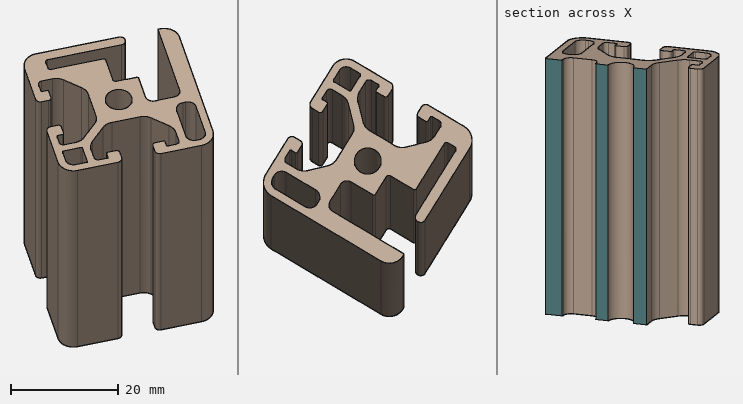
import cadquery as cq
import math

side = 30.0
length = 50.0
half = side / 2
corner_radius = 3.0

bore_diameter = 5.0

slot_half_opening = 3.2
slot_half_width = 8.2
slot_floor = 5.15
slot_flank_offset = 1.3
lip_thickness = 1.5
lip_half_hook = 5.65
hook_height = 1.4
slot_floor_radius = 2.75
slot_shoulder_radius = 2.75
slot_corner_radius = 0.8
hook_root_radius = 0.25
hook_edge_radius = 0.25
lip_inner_radius = 0.6
lip_outer_radius = 0.95

top_plate_thickness = 3.4
channel_opening = 6.6
channel_end_x = 2.05
channel_end_radius = 1.45
step_x = -4.5
step_y = 0.2
step_inner_radius = 0.6
step_edge_radius = 0.4
left_wall_thickness = 2.0
left_wall_tip_radius = 0.95
groove_width = 2.5
groove_floor_y = -10.75
groove_corner_radius = 0.5

chamber_wall = 1.5
upper_chamber_length = 9.65
upper_chamber_height = 3.75
upper_chamber_radius = 1.6
lower_chamber_size = 3.85
lower_chamber_outer_radius = corner_radius - chamber_wall
lower_chamber_inner_radius = 0.25


def step_towards(start, end, distance):
    """Point at the given distance from start on the way to end."""
    ratio = distance / math.dist(start, end)
    return tuple(a + (b - a) * ratio for a, b in zip(start, end))


def rounded_prism(corners):
    """Extrude a closed polygon of (x, y, radius) corners, each rounded by its radius."""
    outline = cq.Workplane("XY")
    started = False
    for index, (x, y, radius) in enumerate(corners):
        corner = (x, y)
        before = corners[index - 1][:2]
        after = corners[(index + 1) % len(corners)][:2]
        toward_before = math.atan2(before[1] - y, before[0] - x)
        toward_after = math.atan2(after[1] - y, after[0] - x)
        half_angle = math.acos(math.cos(toward_after - toward_before)) / 2
        setback = radius / math.tan(half_angle)
        arc_start = step_towards(corner, before, setback)
        arc_end = step_towards(corner, after, setback)
        outline = outline.lineTo(*arc_start) if started else outline.moveTo(*arc_start)
        started = True
        if radius > 0:
            chord_middle = tuple((a + b) / 2 for a, b in zip(arc_start, arc_end))
            arc_depth = radius / math.sin(half_angle) - radius
            outline = outline.threePointArc(step_towards(corner, chord_middle, arc_depth), arc_end)
    return outline.close().extrude(length)


def t_slot_corners():
    """T-slot corners as (across, height, radius), from the negative lip to the positive one."""
    chamber_top = half - lip_thickness
    hook_end = chamber_top - hook_height
    positive_side = [
        (slot_floor - slot_flank_offset, slot_floor, slot_floor_radius),
        (slot_half_width, slot_half_width + slot_flank_offset, slot_shoulder_radius),
        (slot_half_width, chamber_top, slot_corner_radius),
        (lip_half_hook, chamber_top, hook_root_radius),
        (lip_half_hook, hook_end, hook_edge_radius),
        (slot_half_opening, hook_end, lip_inner_radius),
        (slot_half_opening, half, lip_outer_radius),
    ]
    negative_side = [(-across, height, radius) for across, height, radius in reversed(positive_side)]
    return negative_side + positive_side


def channel_corners():
    """Corners of the stepped channel, from the top plate round to the tip of the left wall."""
    channel_top = half - top_plate_thickness
    channel_bottom = channel_top - channel_opening
    wall_inner_x = -half + left_wall_thickness
    groove_right_x = wall_inner_x + groove_width
    return [
        (-half, channel_top, 0),
        (channel_end_x, channel_top, channel_end_radius),
        (channel_end_x, channel_bottom, channel_end_radius),
        (step_x, channel_bottom, step_edge_radius),
        (step_x, step_y, step_inner_radius),
        (groove_right_x, step_y, step_edge_radius),
        (groove_right_x, groove_floor_y, groove_corner_radius),
        (wall_inner_x, groove_floor_y, groove_corner_radius),
        (wall_inner_x, channel_bottom, left_wall_tip_radius),
        (-half, channel_bottom, left_wall_tip_radius),
    ]


def upper_chamber():
    right = half - chamber_wall
    left = right - upper_chamber_length
    top = half - chamber_wall
    bottom = top - upper_chamber_height
    points = [(left, bottom), (right, bottom), (right, top), (left, top)]
    return rounded_prism([(x, y, upper_chamber_radius) for x, y in points])


def lower_chamber():
    outer = half - chamber_wall
    inner = outer - lower_chamber_size
    return rounded_prism([
        (inner, -outer, lower_chamber_inner_radius),
        (outer, -outer, lower_chamber_outer_radius),
        (outer, -inner, lower_chamber_inner_radius),
        (inner, -inner, lower_chamber_inner_radius),
    ])


bottom_slot = [(across, -height, radius) for across, height, radius in t_slot_corners()]
right_slot = [(height, across, radius) for across, height, radius in t_slot_corners()]
profile = [
    (-half, -half, corner_radius),
    *bottom_slot,
    (half, -half, corner_radius),
    *right_slot,
    (half, half, corner_radius),
    (-half, half, corner_radius),
    *channel_corners(),
]

bore = cq.Workplane("XY").circle(bore_diameter / 2).extrude(length)

result = rounded_prism(profile).cut(bore).cut(upper_chamber()).cut(lower_chamber())